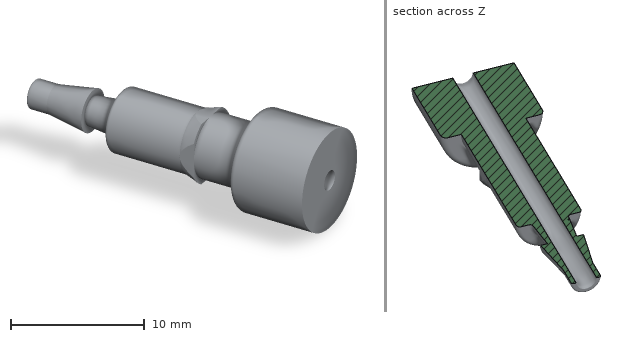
import cadquery as cq

length = 25.5
barb_start = 1.78
barb_end = 5.07
body_start = 7.55
collar_start = 14.08
collar_end = 15.3
head_start = 19.15

bore_diameter = 1.6
tip_diameter = 2.4
barb_diameter = 3.5
neck_root_diameter = 2.93
body_diameter = 5.2
collar_diameter = 6.0
head_diameter = 8.2

tip_round = 0.18
neck_root_round = 0.23
body_round = 0.3
head_round = 0.45


def cylinder(start, end, diameter):
    """Solid cylinder along X between two stations."""
    return cq.Workplane("YZ", origin=(start, 0, 0)).circle(diameter / 2).extrude(end - start)


def cone(start, end, start_diameter, end_diameter):
    """Solid cone frustum along X between two stations."""
    profile = [
        (start, 0),
        (start, start_diameter / 2),
        (end, end_diameter / 2),
        (end, 0),
    ]
    return cq.Workplane("XY").polyline(profile).close().revolve(360, (0, 0, 0), (1, 0, 0))


def make_hose_barb():
    """Rounded tip, one barb and the neck that widens towards the body."""
    tip = cylinder(0, barb_start, tip_diameter).faces("<X").edges().fillet(tip_round)
    barb = cone(barb_start, barb_end, tip_diameter, barb_diameter)
    neck = cone(barb_end, body_start, tip_diameter, neck_root_diameter)
    return tip.union(barb).union(neck)


def make_body():
    """Round shank from the neck to the head."""
    return cylinder(body_start, head_start, body_diameter).faces("<X").edges().fillet(body_round)


def make_collar():
    """Flared catch, cut to a square as wide as the body so only its corners stand out."""
    flare = cone(collar_start, collar_end, body_diameter, collar_diameter)
    square = (
        cq.Workplane("YZ", origin=(collar_start, 0, 0))
        .rect(body_diameter, body_diameter)
        .extrude(collar_end - collar_start)
    )
    return flare.intersect(square)


def make_head():
    """Large cylinder with a rounded front edge."""
    return cylinder(head_start, length, head_diameter).faces("<X").edges().fillet(head_round)


def make_barbed_shank():
    """Hose barb joined to the body, with the inside corner between them rounded."""
    shank = make_hose_barb().union(make_body())
    shoulder_radius = (neck_root_diameter + body_diameter) / 4
    shoulder_point = (body_start, 0, shoulder_radius)
    shoulder = shank.faces(cq.selectors.NearestToPointSelector(shoulder_point))
    smallest_circle = cq.selectors.RadiusNthSelector(0)
    return shoulder.edges(smallest_circle).fillet(neck_root_round)


outside = make_barbed_shank().union(make_collar()).union(make_head())
result = outside.cut(cylinder(0, length, bore_diameter))